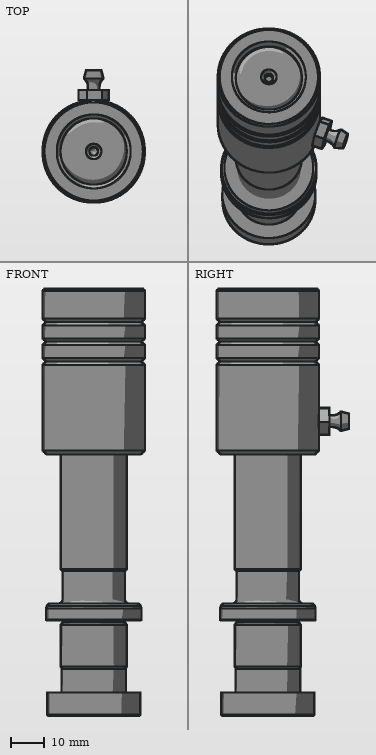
import cadquery as cq
import math


TOTAL_HEIGHT = 129.0

FOOT_RADIUS = 14.0
FOOT_DISC_HEIGHT = 7.2
FOOT_CHAMFER = 0.5
BOSS_RADIUS = 9.8
FOOT_HEIGHT = 14.3

POST_DIAMETER = 20.0
POST_RADIUS = POST_DIAMETER / 2
POST_END_CHAMFER = 0.6
POST_TOP_FILLET = 2.0
SEAT_TOP_Z = 27.5
SEAT_TAPER_HEIGHT = 0.8
NECK_DIAMETER = 19.0
NECK_RADIUS = NECK_DIAMETER / 2
NECK_TOP_Z = 44.4
NECK_STEP = POST_RADIUS - NECK_RADIUS

FLANGE_RADIUS = 14.5
FLANGE_BOTTOM_Z = 28.9
FLANGE_HEIGHT = 5.2
FLANGE_TOP_Z = FLANGE_BOTTOM_Z + FLANGE_HEIGHT
FLANGE_BEVEL_HEIGHT = 0.8
FLANGE_BEVEL_WIDTH = 0.3
FLANGE_TOP_CHAMFER = 0.8
FLANGE_BOTTOM_CHAMFER = 0.3
FLANGE_ROOT_FILLET = 1.0

CENTRE_SINK_RADIUS = 2.3
CENTRE_DRILL_RADIUS = 1.3
CENTRE_DRILL_DEPTH = 3.2
DRILL_POINT_ANGLE = 118.0

SLEEVE_RADIUS = 15.5
SLEEVE_LENGTH = 50.0
SLEEVE_BOTTOM_Z = TOTAL_HEIGHT - SLEEVE_LENGTH
SLEEVE_TOP_CHAMFER = 0.6
SLEEVE_BOTTOM_CHAMFER = 1.3
BORE_CHAMFER = 1.2
GROOVE_DEPTH = 1.0
GROOVE_COUNT = 3
GROOVE_PITCH = 5.9
FIRST_GROOVE_DROP = 10.0

NIPPLE_Z = 89.0
NIPPLE_SHANK_RADIUS = 2.5
NIPPLE_SHANK_LENGTH = 3.9
NIPPLE_HEX_SIDES = 6
NIPPLE_HEX_FLATS = 8.0
NIPPLE_HEX_THICKNESS = 3.1
NIPPLE_HEX_TURN = 3.0
NIPPLE_STEM_RADIUS = 1.8
NIPPLE_STEM_END_Y = 19.6
NIPPLE_HEAD_RADIUS = 3.0
NIPPLE_HEAD_Y = 22.0
NIPPLE_TIP_RADIUS = 2.3
NIPPLE_TIP_Y = 24.5


def make_foot():
    disc = (
        cq.Workplane("XY")
        .circle(FOOT_RADIUS)
        .extrude(FOOT_DISC_HEIGHT)
        .faces("<Z")
        .chamfer(FOOT_CHAMFER)
    )
    boss = cq.Workplane("XY").circle(BOSS_RADIUS).extrude(FOOT_HEIGHT)
    return disc.union(boss)


def make_post_blank():
    """Turned post with its flange; the outline lies in the XZ plane."""
    bevel_top_z = FLANGE_TOP_Z - FLANGE_TOP_CHAMFER
    bevel_top_radius = FLANGE_RADIUS - FLANGE_BEVEL_WIDTH
    return (
        cq.Workplane("XZ")
        .moveTo(0, FOOT_HEIGHT)
        .lineTo(POST_RADIUS - POST_END_CHAMFER, FOOT_HEIGHT)
        .lineTo(POST_RADIUS, FOOT_HEIGHT + POST_END_CHAMFER)
        .lineTo(POST_RADIUS, SEAT_TOP_Z)
        .lineTo(NECK_RADIUS, SEAT_TOP_Z + SEAT_TAPER_HEIGHT)
        .lineTo(NECK_RADIUS, FLANGE_BOTTOM_Z)
        .lineTo(FLANGE_RADIUS - FLANGE_BOTTOM_CHAMFER, FLANGE_BOTTOM_Z)
        .lineTo(FLANGE_RADIUS, FLANGE_BOTTOM_Z + FLANGE_BOTTOM_CHAMFER)
        .lineTo(FLANGE_RADIUS, bevel_top_z - FLANGE_BEVEL_HEIGHT)
        .lineTo(bevel_top_radius, bevel_top_z)
        .lineTo(bevel_top_radius - FLANGE_TOP_CHAMFER, FLANGE_TOP_Z)
        .lineTo(NECK_RADIUS + FLANGE_ROOT_FILLET, FLANGE_TOP_Z)
        .radiusArc((NECK_RADIUS, FLANGE_TOP_Z + FLANGE_ROOT_FILLET), FLANGE_ROOT_FILLET)
        .lineTo(NECK_RADIUS, NECK_TOP_Z - NECK_STEP)
        .lineTo(POST_RADIUS, NECK_TOP_Z)
        .lineTo(POST_RADIUS, TOTAL_HEIGHT)
        .lineTo(0, TOTAL_HEIGHT)
        .close()
        .revolve(360, (0, 0), (0, 1))
        .faces(">Z")
        .edges()
        .fillet(POST_TOP_FILLET)
    )


def make_centre_hole():
    """45 degree countersink, drilled hole and conical drill point."""
    sink_bottom_z = TOTAL_HEIGHT - (CENTRE_SINK_RADIUS - CENTRE_DRILL_RADIUS)
    drill_bottom_z = TOTAL_HEIGHT - CENTRE_DRILL_DEPTH
    point_depth = CENTRE_DRILL_RADIUS / math.tan(math.radians(DRILL_POINT_ANGLE / 2))
    return (
        cq.Workplane("XZ")
        .moveTo(0, TOTAL_HEIGHT)
        .lineTo(CENTRE_SINK_RADIUS, TOTAL_HEIGHT)
        .lineTo(CENTRE_DRILL_RADIUS, sink_bottom_z)
        .lineTo(CENTRE_DRILL_RADIUS, drill_bottom_z)
        .lineTo(0, drill_bottom_z - point_depth)
        .close()
        .revolve(360, (0, 0), (0, 1))
    )


def make_groove(z):
    """Cutter for a 90 degree V groove around the sleeve."""
    return (
        cq.Workplane("XZ")
        .moveTo(SLEEVE_RADIUS, z - GROOVE_DEPTH)
        .lineTo(SLEEVE_RADIUS - GROOVE_DEPTH, z)
        .lineTo(SLEEVE_RADIUS, z + GROOVE_DEPTH)
        .close()
        .revolve(360, (0, 0), (0, 1))
    )


def make_nipple_shank():
    """The nipple end inside the sleeve wall, also used to cut its hole."""
    return (
        cq.Workplane("XZ", origin=(0, SLEEVE_RADIUS, NIPPLE_Z))
        .circle(NIPPLE_SHANK_RADIUS)
        .extrude(NIPPLE_SHANK_LENGTH)
    )


def make_sleeve():
    sleeve = (
        cq.Workplane("XY", origin=(0, 0, SLEEVE_BOTTOM_Z))
        .circle(SLEEVE_RADIUS)
        .extrude(SLEEVE_LENGTH)
        .faces(">Z")
        .chamfer(SLEEVE_TOP_CHAMFER)
        .faces("<Z")
        .chamfer(SLEEVE_BOTTOM_CHAMFER)
    )
    for index in range(GROOVE_COUNT):
        groove_z = TOTAL_HEIGHT - FIRST_GROOVE_DROP - index * GROOVE_PITCH
        sleeve = sleeve.cut(make_groove(groove_z))
    bore = (
        cq.Workplane("XY", origin=(0, 0, SLEEVE_BOTTOM_Z))
        .circle(POST_RADIUS)
        .extrude(SLEEVE_LENGTH)
    )
    bore_chamfer = (
        cq.Workplane("XZ")
        .moveTo(0, TOTAL_HEIGHT)
        .lineTo(POST_RADIUS + BORE_CHAMFER, TOTAL_HEIGHT)
        .lineTo(POST_RADIUS, TOTAL_HEIGHT - BORE_CHAMFER)
        .lineTo(0, TOTAL_HEIGHT - BORE_CHAMFER)
        .close()
        .revolve(360, (0, 0), (0, 1))
    )
    return sleeve.cut(bore).cut(bore_chamfer).cut(make_nipple_shank())


def make_nipple():
    hex_corners = NIPPLE_HEX_FLATS / math.cos(math.pi / NIPPLE_HEX_SIDES)
    hexagon = (
        cq.Workplane("XZ", origin=(0, SLEEVE_RADIUS, NIPPLE_Z))
        .polygon(NIPPLE_HEX_SIDES, hex_corners)
        .extrude(-NIPPLE_HEX_THICKNESS)
        .rotate((0, 0, NIPPLE_Z), (0, 1, NIPPLE_Z), NIPPLE_HEX_TURN)
    )
    flare_width = NIPPLE_HEAD_RADIUS - NIPPLE_STEM_RADIUS
    flare_length = NIPPLE_HEAD_Y - NIPPLE_STEM_END_Y
    flare_radius = (flare_width**2 + flare_length**2) / (2 * flare_width)
    head = (
        cq.Workplane("XY", origin=(0, 0, NIPPLE_Z))
        .moveTo(0, SLEEVE_RADIUS)
        .lineTo(NIPPLE_STEM_RADIUS, SLEEVE_RADIUS)
        .lineTo(NIPPLE_STEM_RADIUS, NIPPLE_STEM_END_Y)
        .radiusArc((NIPPLE_HEAD_RADIUS, NIPPLE_HEAD_Y), flare_radius)
        .lineTo(NIPPLE_TIP_RADIUS, NIPPLE_TIP_Y)
        .lineTo(0, NIPPLE_TIP_Y)
        .close()
        .revolve(360, (0, 0), (0, 1))
    )
    return hexagon.union(head).union(make_nipple_shank())


foot = make_foot()
post = make_post_blank().cut(make_centre_hole())
sleeve = make_sleeve()
nipple = make_nipple()

result = cq.Compound.makeCompound([foot.val(), post.val(), sleeve.val(), nipple.val()])